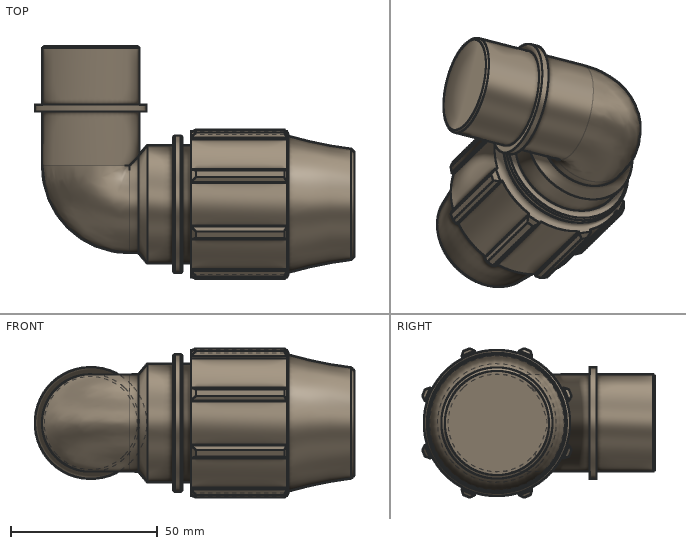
import cadquery as cq
import math

pipe_radius = 33.3 / 2
collar_radius = 38.2 / 2
spigot_x = collar_radius
spigot_end_y = 54.0
collar_start_y = 31.6
collar_width = 2.4
spigot_chamfer = 0.8

bend_radius = 13.2
bend_center_x = spigot_x + bend_radius

body_radius = 40.5 / 2
body_cone_start_x = 35.4
body_start_x = 38.4
ring_radius = 47.0 / 2
ring_start_x = 47.1
ring_width = 3.3
ring_chamfer = 0.7

nut_radius = 25.0
nut_start_x = 53.3
nut_bevel_start_x = 86.0
nut_bevel_radius = 23.9
nut_end_x = 86.5
mouth_back_radius = 23.4
mouth_front_radius = 19.0
mouth_hollow = 0.4
mouth_end_x = 109.1
mouth_chamfer = 1.2

rib_count = 8
rib_root_radius = 24
rib_top_radius = 27.1
rib_shoulder_radius = 25.6
rib_top_width = 2.4
rib_width = 4.8
rib_start_x = nut_start_x
rib_end_x = nut_bevel_start_x
rib_top_start_x = 55.0
rib_top_end_x = 85.1


def cylinder_x(start, length, radius):
    return cq.Workplane("YZ", origin=(start, 0, 0)).circle(radius).extrude(length)


def cylinder_y(start, length, radius):
    plane = cq.Plane(origin=(spigot_x, start, 0), xDir=(1, 0, 0), normal=(0, 1, 0))
    return cq.Workplane(plane).circle(radius).extrude(length)


def make_bend():
    """Quarter turn; the pipe circle is cut off at the turning axis it overlaps."""
    cut_height = math.sqrt(pipe_radius**2 - bend_radius**2)
    section = (
        cq.Workplane("XZ", origin=(bend_center_x, bend_radius, 0))
        .moveTo(0, -cut_height)
        .threePointArc((-bend_radius - pipe_radius, 0), (0, cut_height))
        .close()
    )
    return section.revolve(90, (0, 0, 0), (0, 1, 0))


def make_spigot():
    length = spigot_end_y - bend_radius
    pipe = cylinder_y(bend_radius, length, pipe_radius).faces(">Y").chamfer(spigot_chamfer)
    return pipe.union(cylinder_y(collar_start_y, collar_width, collar_radius))


def make_body():
    profile = (
        cq.Workplane("XY")
        .moveTo(bend_center_x, 0)
        .lineTo(bend_center_x, pipe_radius)
        .lineTo(body_cone_start_x, pipe_radius)
        .lineTo(body_start_x, body_radius)
        .lineTo(nut_start_x, body_radius)
        .lineTo(nut_start_x, 0)
        .close()
    )
    body = profile.revolve(360, (0, 0, 0), (1, 0, 0))
    ring = cylinder_x(ring_start_x, ring_width, ring_radius).edges().chamfer(ring_chamfer)
    return body.union(ring)


def make_nut():
    mouth_chamfer_x = mouth_end_x - mouth_chamfer
    middle_x = (nut_end_x + mouth_chamfer_x) / 2
    middle_radius = (mouth_back_radius + mouth_front_radius) / 2 - mouth_hollow
    profile = (
        cq.Workplane("XY")
        .moveTo(nut_start_x, 0)
        .lineTo(nut_start_x, nut_radius)
        .lineTo(nut_bevel_start_x, nut_radius)
        .lineTo(nut_end_x, nut_bevel_radius)
        .lineTo(nut_end_x, mouth_back_radius)
        .threePointArc((middle_x, middle_radius), (mouth_chamfer_x, mouth_front_radius))
        .lineTo(mouth_end_x, mouth_front_radius - mouth_chamfer)
        .lineTo(mouth_end_x, 0)
        .close()
    )
    return profile.revolve(360, (0, 0, 0), (1, 0, 0))


def make_rib():
    """Rib above the nut axis: a straight-sided block with a bevelled top."""
    length = rib_end_x - rib_start_x
    top_length = rib_top_end_x - rib_top_start_x
    middle_x = (rib_start_x + rib_end_x) / 2
    top_middle_x = (rib_top_start_x + rib_top_end_x) / 2
    block = (
        cq.Workplane("XY", origin=(middle_x, 0, rib_root_radius))
        .rect(length, rib_width)
        .extrude(rib_shoulder_radius - rib_root_radius)
    )
    top = (
        cq.Workplane("XY", origin=(middle_x, 0, rib_shoulder_radius))
        .rect(length, rib_width)
        .workplane(offset=rib_top_radius - rib_shoulder_radius)
        .center(top_middle_x - middle_x, 0)
        .rect(top_length, rib_top_width)
        .loft(ruled=True)
    )
    return block.union(top)


result = make_bend().union(make_spigot()).union(make_body()).union(make_nut())

rib = make_rib()
rib_pitch = 360 / rib_count
for index in range(rib_count):
    rib_angle = (index + 0.5) * rib_pitch
    result = result.union(rib.rotate((0, 0, 0), (1, 0, 0), rib_angle))